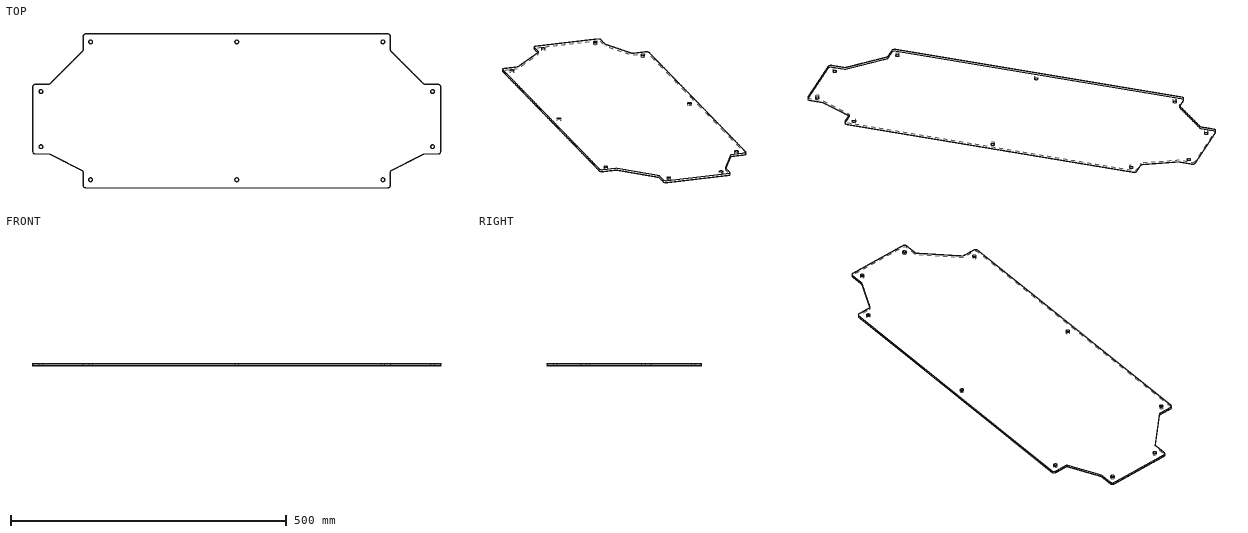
import cadquery as cq

length = 740.0
width = 280.0
thickness = 4.0

notch_length = 91.5
upper_notch_depth = 91.5
lower_notch_depth = 61.5
straight_edge = 30.5
outer_corner_radius = 5.0
inner_corner_radius = 3.0

hole_diameter = 6.6
hole_inset = 15.0
side_hole_inset = 13.5
tab_hole_spacing = 100.0

half_length = length / 2
half_width = width / 2
body_half_length = half_length - notch_length
slant_end = half_length - straight_edge
tab_top = half_width - upper_notch_depth
tab_bottom = -half_width + lower_notch_depth

outer_corners = [
    (body_half_length, -half_width),
    (half_length, tab_bottom),
    (half_length, tab_top),
    (body_half_length, half_width),
]
inner_corners = [
    (body_half_length, -half_width + straight_edge),
    (slant_end, tab_bottom),
    (slant_end, tab_top),
    (body_half_length, half_width - straight_edge),
]


def mirrored(points):
    """The points followed by their mirror images across the YZ plane, in outline order."""
    return points + [(-x, y) for x, y in reversed(points)]


def round_corners(plate, corners, radius):
    """Fillet the upright edges standing on the given corners and their mirror images."""
    mid_height = thickness / 2
    edges = [
        plate.edges(cq.selectors.NearestToPointSelector((x, y, mid_height))).val()
        for x, y in mirrored(corners)
    ]
    return plate.newObject(edges).fillet(radius)


def make_plate():
    """Flat plate, symmetric about the YZ plane, with all corners rounded."""
    lower_start, lower_tab, upper_tab, upper_end = outer_corners
    half_outline = [lower_start, *inner_corners[:2], lower_tab, upper_tab, *inner_corners[2:], upper_end]
    plate = cq.Workplane("XY").polyline(mirrored(half_outline)).close().extrude(thickness)
    plate = round_corners(plate, outer_corners, outer_corner_radius)
    return round_corners(plate, inner_corners, inner_corner_radius)


def hole_centres():
    """Three holes along each long edge and two on each end tab."""
    body_x = body_half_length - side_hole_inset
    edge_y = half_width - hole_inset
    tab_x = half_length - hole_inset
    tab_upper_y = tab_top - side_hole_inset
    tab_lower_y = tab_upper_y - tab_hole_spacing
    edge_holes = [(x, y) for x in (-body_x, 0, body_x) for y in (-edge_y, edge_y)]
    tab_holes = [(x, y) for x in (-tab_x, tab_x) for y in (tab_lower_y, tab_upper_y)]
    return edge_holes + tab_holes


def drill_holes(plate):
    """Drill every hole straight through the plate."""
    top_plane = plate.faces(">Z").workplane(origin=(0, 0, 0))
    return top_plane.pushPoints(hole_centres()).hole(hole_diameter)


result = drill_holes(make_plate())